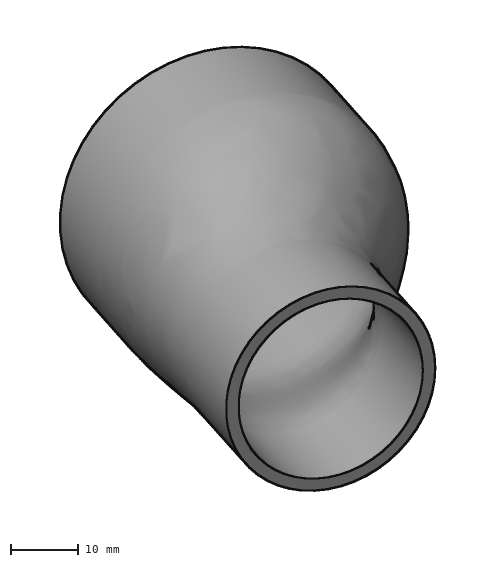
import cadquery as cq

LENGTH = 64.0
LARGE_DIAMETER = 48.3
SMALL_DIAMETER = 33.7
LARGE_BORE = 44.3
SMALL_BORE = 29.7
COLLAR_LENGTH = 16.0
SECTION_COUNT = 9

TRANSITION_LENGTH = LENGTH - 2 * COLLAR_LENGTH
AXIS_OFFSET = (LARGE_DIAMETER - SMALL_DIAMETER) / 2


def smooth_step(t):
    """S-curve from 0 to 1 that is level at both ends."""
    return t * t * (3 - 2 * t)


def straight_collar(start_x, center_y, diameter):
    """Solid cylinder along X, one collar long."""
    plane = cq.Plane(origin=(start_x, center_y, 0), xDir=(0, 1, 0), normal=(1, 0, 0))
    return cq.Workplane(plane).circle(diameter / 2).extrude(COLLAR_LENGTH)


def transition(large_diameter, small_diameter):
    """Solid that blends the large circle into the offset small circle."""
    sections = []
    for index in range(SECTION_COUNT):
        t = index / (SECTION_COUNT - 1)
        blend = smooth_step(t)
        radius = (large_diameter + (small_diameter - large_diameter) * blend) / 2
        center = cq.Vector(COLLAR_LENGTH + t * TRANSITION_LENGTH, -AXIS_OFFSET * blend, 0)
        sections.append(cq.Wire.makeCircle(radius, center, cq.Vector(1, 0, 0)))
    return cq.Workplane(cq.Solid.makeLoft(sections))


def reducer_body(large_diameter, small_diameter):
    """Solid reducer: large collar, transition and small collar."""
    large_collar = straight_collar(0, 0, large_diameter)
    small_collar = straight_collar(LENGTH - COLLAR_LENGTH, -AXIS_OFFSET, small_diameter)
    return large_collar.union(transition(large_diameter, small_diameter)).union(small_collar)


outside = reducer_body(LARGE_DIAMETER, SMALL_DIAMETER)
bore = reducer_body(LARGE_BORE, SMALL_BORE)
result = outside.cut(bore)